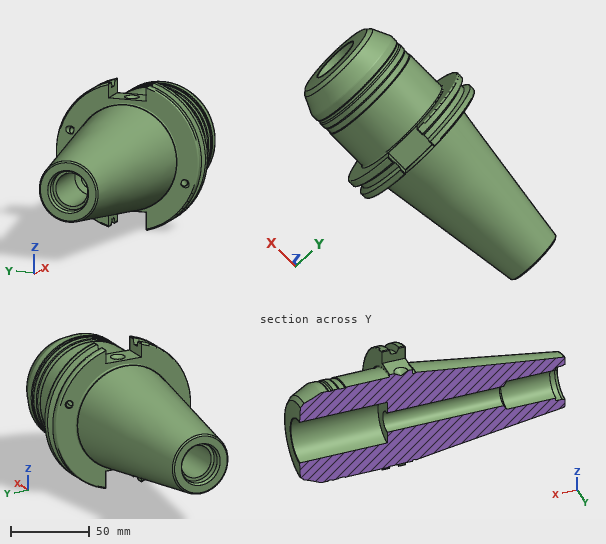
import cadquery as cq
import math

total_length = 182.6
gauge_x = 101.5
flange_start = 104.8
flange_end = 120.7

gauge_radius = 34.9
taper_slope = 7 / 48
tail_chamfer = 1.0
tail_radius = gauge_radius - taper_slope * gauge_x

gauge_land = 1.1
neck_radius = 69.2 / 2
neck_fillet = 0.5

flange_radius = 98.5 / 2
flange_round = 1.0
grip_center = 112.7
grip_floor_width = 3.7
grip_depth = 3.8
grip_side_run = 1.6
grip_radius = flange_radius - grip_depth

slot_width = 25.7
slot_edge_chamfer = 0.5
top_slot_height = 37.8
bottom_slot_height = 35.5
dimple_diameter = 9.5
dimple_tip_angle = 118.0

body_radius = 72.0 / 2
body_fillet = 1.0
body_groove_radius = 71.0 / 2
body_grooves = [
    (150.8, 151.4, 155.2, 156.1),
    (159.6, 160.7, 162.3, 163.0),
]
nose_start = 167.6
nose_edge_chamfer = 0.4
nose_bevel_x = 179.5
nose_bevel_radius = 30.5
nose_face_x = 182.0
nose_face_radius = 27.8
lip_radius = 32.7 / 2

tail_bore_radius = 26.1 / 2
tail_bore_depth = 6.4
tail_bore_mouth_radius = 14.0
tail_bore_mouth_depth = 2.2
thread_radius = 22.0 / 2
thread_depth = 40.2
coolant_radius = 15.0 / 2
drill_half_angle = 59.0
clamp_radius = 32.0 / 2
clamp_depth = 60.3

port_circle_radius = 42.0
port_angle = 20.0
port_tilt = 35.0
port_mouth_diameter = 5.0
port_mouth_depth = 1.5
port_drill_diameter = 4.2
port_drill_depth = 11.0


def cone_length(large_radius, small_radius, half_angle):
    """Axial length of a cone between two radii."""
    return (large_radius - small_radius) / math.tan(math.radians(half_angle))


def arc_middle(center_x, center_r, radius, direction):
    """Point on a fillet arc in the given (x, r) diagonal direction from its centre."""
    reach = radius * math.sqrt(0.5)
    return center_x + direction[0] * reach, center_r + direction[1] * reach


def outer_body():
    """Revolve the whole outside contour about X."""
    grip_floor_start = grip_center - grip_floor_width / 2
    grip_floor_end = grip_center + grip_floor_width / 2
    round_r = flange_radius - flange_round
    tail_round_x = flange_start + flange_round
    nose_round_x = flange_end - flange_round
    neck_start = gauge_x + gauge_land
    neck_arc_x = flange_start - neck_fillet
    neck_arc_r = neck_radius + neck_fillet
    body_arc_x = flange_end + body_fillet
    body_arc_r = body_radius + body_fillet

    contour = (
        cq.Workplane("XY")
        .moveTo(0, 0)
        .lineTo(0, tail_radius - tail_chamfer)
        .lineTo(tail_chamfer, tail_radius + taper_slope * tail_chamfer)
        .lineTo(gauge_x, gauge_radius)
        .lineTo(neck_start, gauge_radius)
        .lineTo(neck_start, neck_radius)
        .lineTo(neck_arc_x, neck_radius)
        .threePointArc(
            arc_middle(neck_arc_x, neck_arc_r, neck_fillet, (1, -1)),
            (flange_start, neck_arc_r),
        )
        .lineTo(flange_start, round_r)
        .threePointArc(
            arc_middle(tail_round_x, round_r, flange_round, (-1, 1)),
            (tail_round_x, flange_radius),
        )
        .lineTo(grip_floor_start - grip_side_run, flange_radius)
        .lineTo(grip_floor_start, grip_radius)
        .lineTo(grip_floor_end, grip_radius)
        .lineTo(grip_floor_end + grip_side_run, flange_radius)
        .lineTo(nose_round_x, flange_radius)
        .threePointArc(
            arc_middle(nose_round_x, round_r, flange_round, (1, 1)),
            (flange_end, round_r),
        )
        .lineTo(flange_end, body_arc_r)
        .threePointArc(
            arc_middle(body_arc_x, body_arc_r, body_fillet, (-1, -1)),
            (body_arc_x, body_radius),
        )
    )
    nose_slope = math.atan2(body_radius - nose_bevel_radius, nose_bevel_x - nose_start)
    for start, floor_start, floor_end, end in body_grooves:
        contour = (
            contour.lineTo(start, body_radius)
            .lineTo(floor_start, body_groove_radius)
            .lineTo(floor_end, body_groove_radius)
            .lineTo(end, body_radius)
        )
    contour = (
        contour.lineTo(nose_start - nose_edge_chamfer, body_radius)
        .lineTo(
            nose_start + nose_edge_chamfer * math.cos(nose_slope),
            body_radius - nose_edge_chamfer * math.sin(nose_slope),
        )
        .lineTo(nose_bevel_x, nose_bevel_radius)
        .lineTo(nose_face_x, nose_face_radius)
        .lineTo(total_length, lip_radius)
        .lineTo(total_length, 0)
        .close()
    )
    return contour.revolve(360, (0, 0, 0), (1, 0, 0))


def stepped_bore():
    """Solid of the through bore, revolved about X."""
    clamp_start = total_length - clamp_depth
    clamp_chamfer = lip_radius - clamp_radius
    thread_cone_end = thread_depth + cone_length(thread_radius, coolant_radius, drill_half_angle)
    return (
        cq.Workplane("XY")
        .moveTo(0, 0)
        .lineTo(0, tail_bore_mouth_radius)
        .lineTo(tail_bore_mouth_depth, tail_bore_radius)
        .lineTo(tail_bore_depth, tail_bore_radius)
        .lineTo(tail_bore_depth, thread_radius)
        .lineTo(thread_depth, thread_radius)
        .lineTo(thread_cone_end, coolant_radius)
        .lineTo(clamp_start, coolant_radius)
        .lineTo(clamp_start, clamp_radius)
        .lineTo(total_length - clamp_chamfer, clamp_radius)
        .lineTo(total_length, lip_radius)
        .lineTo(total_length, 0)
        .close()
        .revolve(360, (0, 0, 0), (1, 0, 0))
    )


def drive_slot(floor_height, side):
    """Slot across the flange width, open to +Z (side 1) or -Z (side -1), with chamfered mouth edges."""
    half_width = slot_width / 2
    mouth_half = half_width + slot_edge_chamfer
    mouth_height = math.sqrt(flange_radius**2 - mouth_half**2)
    open_height = flange_radius + 1.8
    outline = [
        (-half_width, floor_height),
        (half_width, floor_height),
        (half_width, mouth_height - slot_edge_chamfer),
        (mouth_half, mouth_height),
        (mouth_half, open_height),
        (-mouth_half, open_height),
        (-mouth_half, mouth_height),
        (-half_width, mouth_height - slot_edge_chamfer),
    ]
    return (
        cq.Workplane("YZ", origin=(flange_start, 0, 0))
        .polyline([(y, side * z) for y, z in outline])
        .close()
        .extrude(flange_end - flange_start)
    )


def slot_dimple():
    """Conical drill point in the floor of the top slot."""
    radius = dimple_diameter / 2
    depth = cone_length(radius, 0, dimple_tip_angle / 2)
    return cq.Workplane(
        cq.Solid.makeCone(
            radius, 0, depth, cq.Vector(grip_center, 0, top_slot_height), cq.Vector(0, 0, -1)
        )
    )


def coolant_port():
    """Stepped hole drilled into the flange face, leaning toward the axis, on the +Y side."""
    tilt = math.radians(port_tilt)
    drill_direction = cq.Vector(math.cos(tilt), -math.sin(tilt), 0)
    mouth_center = cq.Vector(flange_start, port_circle_radius, 0)
    run_out = port_mouth_diameter
    cutter_start = mouth_center - drill_direction * run_out
    mouth = cq.Solid.makeCylinder(
        port_mouth_diameter / 2, run_out + port_mouth_depth, cutter_start, drill_direction
    )
    drill = cq.Solid.makeCylinder(
        port_drill_diameter / 2, port_drill_depth, mouth_center, drill_direction
    )
    port = cq.Workplane(mouth).union(cq.Workplane(drill))
    return port.rotate((0, 0, 0), (1, 0, 0), port_angle)


result = (
    outer_body()
    .cut(stepped_bore())
    .cut(drive_slot(top_slot_height, 1))
    .cut(drive_slot(bottom_slot_height, -1))
    .cut(slot_dimple())
)
for turn in (0, 180):
    result = result.cut(coolant_port().rotate((0, 0, 0), (1, 0, 0), turn))